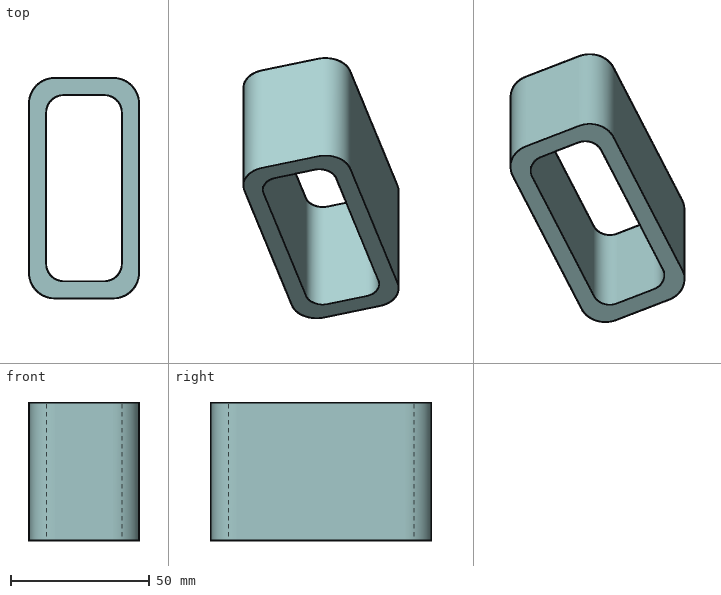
import cadquery as cq

width = 40.0
depth = 80.0
height = 50.0
wall = 6.3
outer_radius = 9.4
inner_radius = wall


def rounded_bar(size_x, size_y, corner_radius):
    """Upright bar with rounded vertical edges, centred on the origin."""
    return cq.Workplane("XY").box(size_x, size_y, height).edges("|Z").fillet(corner_radius)


outer = rounded_bar(width, depth, outer_radius)
bore = rounded_bar(width - 2 * wall, depth - 2 * wall, inner_radius)

result = outer.cut(bore)